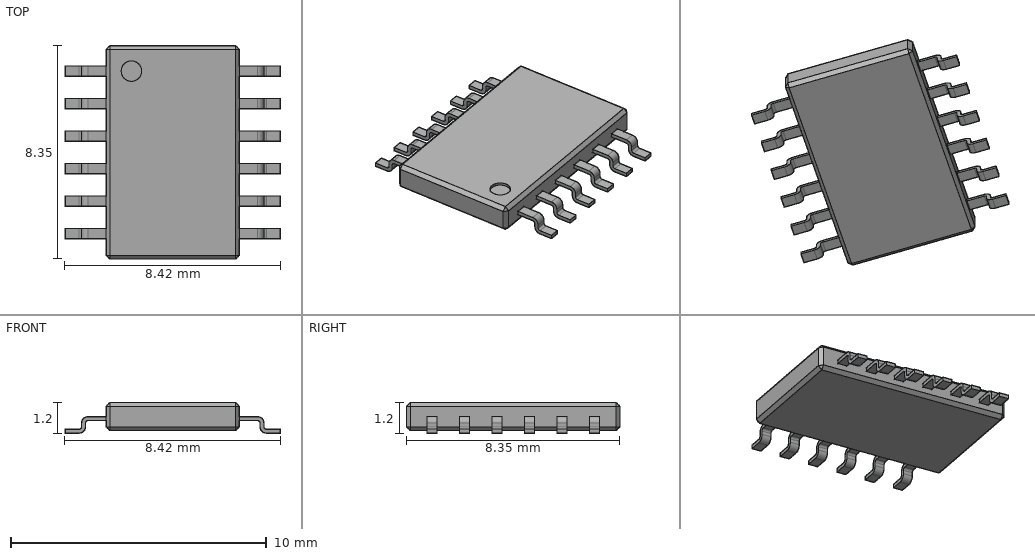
import cadquery as cq

HOUSING_WIDTH = 5.22
HOUSING_LENGTH = 8.35
HOUSING_HEIGHT = 1.1
HOUSING_STANDOFF = 0.1
HOUSING_CHAMFER = 0.15

LEAD_SPAN = 8.42
LEAD_COUNT = 6
LEAD_PITCH = 1.27
LEAD_WIDTH = 0.4
LEAD_THICKNESS = 0.16
LEAD_TOP = HOUSING_STANDOFF + HOUSING_HEIGHT / 2
FOOT_FLAT = 0.55
BEND_INNER_RADIUS = 0.09

MARKER_DIAMETER = 0.8
MARKER_THICKNESS = 0.05
MARKER_DEPTH = 0.1
MARKER_INSET = 0.99

housing_top = HOUSING_STANDOFF + HOUSING_HEIGHT
lead_row_length = (LEAD_COUNT - 1) * LEAD_PITCH
lead_places = [index * LEAD_PITCH - lead_row_length / 2 for index in range(LEAD_COUNT)]
marker_x = MARKER_INSET - HOUSING_WIDTH / 2
marker_y = lead_places[-1]


def make_lead(y):
    """Sweep a flat section along the lead's centre line, from one foot tip to the other."""
    bend = BEND_INNER_RADIUS + LEAD_THICKNESS / 2
    tip_x = LEAD_SPAN / 2
    foot_end_x = tip_x - FOOT_FLAT
    riser_x = foot_end_x - bend
    shoulder_x = riser_x - bend
    foot_z = LEAD_THICKNESS / 2
    shoulder_z = LEAD_TOP - LEAD_THICKNESS / 2
    centre_line = (
        cq.Workplane("XZ", origin=(0, y, 0))
        .moveTo(-tip_x, foot_z)
        .lineTo(-foot_end_x, foot_z)
        .tangentArcPoint((-riser_x, foot_z + bend), relative=False)
        .lineTo(-riser_x, shoulder_z - bend)
        .tangentArcPoint((-shoulder_x, shoulder_z), relative=False)
        .lineTo(shoulder_x, shoulder_z)
        .tangentArcPoint((riser_x, shoulder_z - bend), relative=False)
        .lineTo(riser_x, foot_z + bend)
        .tangentArcPoint((foot_end_x, foot_z), relative=False)
        .lineTo(tip_x, foot_z)
    )
    section = cq.Workplane("YZ", origin=(-tip_x, y, foot_z)).rect(LEAD_WIDTH, LEAD_THICKNESS)
    return section.sweep(centre_line)


def make_marker_disc(top_z, thickness):
    """Disc of the marker diameter, reaching down from top_z."""
    bottom = cq.Workplane("XY", origin=(marker_x, marker_y, top_z - thickness))
    return bottom.circle(MARKER_DIAMETER / 2).extrude(thickness)


def make_housing(leads):
    """Chamfered block with a passage for each lead and a recess for the marker."""
    block = (
        cq.Workplane("XY", origin=(0, 0, HOUSING_STANDOFF))
        .box(HOUSING_WIDTH, HOUSING_LENGTH, HOUSING_HEIGHT, centered=(True, True, False))
        .edges()
        .chamfer(HOUSING_CHAMFER)
    )
    for lead in leads:
        block = block.cut(lead)
    return block.cut(make_marker_disc(housing_top, MARKER_DEPTH + MARKER_THICKNESS))


leads = [make_lead(y) for y in lead_places]
marker = make_marker_disc(housing_top - MARKER_DEPTH, MARKER_THICKNESS)
housing = make_housing(leads)

result = cq.Compound.makeCompound([housing.solids().val(), marker.val(), *[lead.val() for lead in leads]])